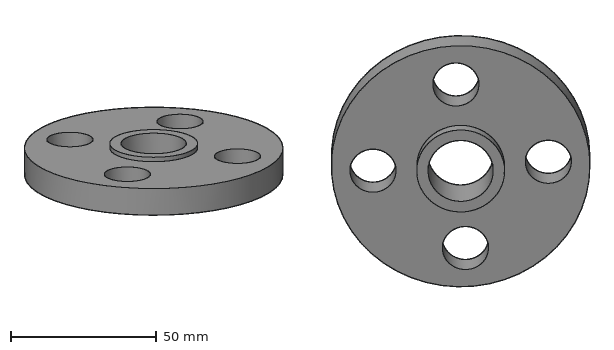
import cadquery as cq

flange_diameter = 88.9
flange_thickness = 9.7

hub_diameter = 30.2
raised_face_height = 1.6
hub_depth = 4.45
bore_diameter = 22.4

bolt_hole_count = 4
bolt_hole_diameter = 15.8
bolt_circle_diameter = 60.4
first_bolt_angle = 45.0

total_height = hub_depth + flange_thickness + raised_face_height


def cylinder(diameter, height, bottom):
    """Vertical cylinder on the Z axis, starting at the given height."""
    return cq.Workplane("XY").workplane(offset=bottom).circle(diameter / 2).extrude(height)


disc = cylinder(flange_diameter, flange_thickness, hub_depth)
hub = cylinder(hub_diameter, total_height, 0)
bore = cylinder(bore_diameter, total_height, 0)

bolt_holes = (
    cq.Workplane("XY")
    .workplane(offset=hub_depth)
    .polarArray(bolt_circle_diameter / 2, first_bolt_angle, 360, bolt_hole_count)
    .circle(bolt_hole_diameter / 2)
    .extrude(flange_thickness)
)

result = disc.union(hub).cut(bore).cut(bolt_holes)